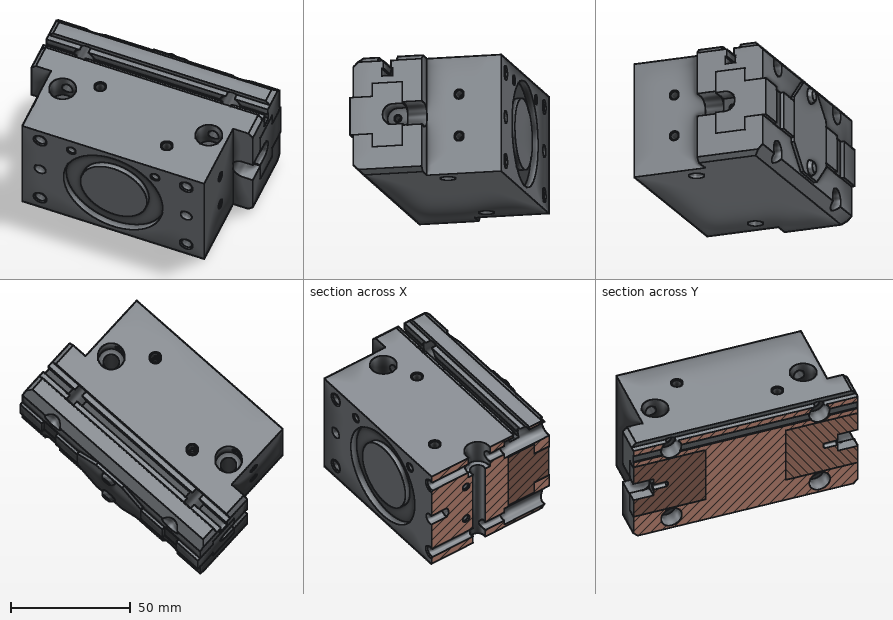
import cadquery as cq
import math


length = 100.0
height = 50.0
block_length = 82.2
shoulder_y = 32.0
housing_back_y = 61.5
end_chamfer = 2.0
back_chamfer = 4.0

jaw_face_y = 62.9
head_front_y = 40.3
head_back_y = 53.4
head_height = 27.2
neck_height = 16.0
jaw_inner_x = 17.9
key_slot_x = 33.9
key_slot_width = 7.8
key_slot_floor_y = 61.3

relief_x = 45.6
housing_relief_radius = 5.0
jaw_relief_radius = 4.4
jaw_relief_y = 44.5
jaw_relief_depth = 8.9
jaw_hole_diameter = 2.6
jaw_hole_ring = 3.2
jaw_hole_depth = 6.0

cover_half_height = 19.8
cover_straight_z = 10.0
cover_top_half_length = 7.3
cover_screw_z = 15.9
cover_screw_base = 6.8
cover_screw_tip = 4.4
cover_screw_height = 1.8
cover_screw_bulge_radius = 3.0
cover_screw_bulge_height = 1.0

groove_y = 46.9
groove_mouth_width = 8.2
groove_neck_width = 3.2
groove_base_width = 4.7
groove_mouth_depth = 2.0
groove_base_top_depth = 5.2
groove_depth = 8.5

bolt_x = 33.0
bolt_z = 18.9
bolt_diameter = 4.8
bolt_mouth_diameter = 6.0
bolt_counterbore_diameter = 9.1
bolt_counterbore_floor_y = 38.0

dowel_diameter = 5.1
dowel_depth = 8.0

cross_bolt_y = 24.9
cross_bolt_diameter = 6.6
cross_bolt_counterbore = 11.3
cross_bolt_counterbore_depth = 11.0

port_x = 18.9
face_port_diameter = 3.4
face_port_mouth = 4.2

top_port_y = {-1: 31.9, 1: 13.0}
top_port_mouth = 5.1
top_port_diameter = 4.2
top_port_depth = 9.0
top_port_drill = 2.6
top_port_drill_depth = 14.0

side_port_y = 18.1
side_port_z = 9.0
side_port_diameter = 3.4
side_port_mouth = 4.2
side_port_depth = 8.0

ring_outer_radius = 22.4
ring_inner_radius = 15.0
ring_depth = 3.0
ring_center_recess = 0.6

drill_point_angle = 118.0

TO_BACK = cq.Vector(0, 1, 0)
DOWN = cq.Vector(0, 0, -1)


def box_between(x_range, y_range, z_range):
    """Box spanning the given (low, high) ranges."""
    sizes = [high - low for low, high in (x_range, y_range, z_range)]
    corner = (x_range[0], y_range[0], z_range[0])
    return cq.Workplane("XY").box(*sizes, centered=False).translate(corner)


def cylinder(diameter, depth, start, direction):
    """Plain round cutter."""
    return cq.Workplane(obj=cq.Solid.makeCylinder(diameter / 2, depth, cq.Vector(*start), direction))


def drilled(diameter, depth, start, direction):
    """Blind hole cutter with a conical drill point."""
    radius = diameter / 2
    point_height = radius / math.tan(math.radians(drill_point_angle / 2))
    point_start = cq.Vector(*start) + direction * depth
    point = cq.Solid.makeCone(radius, 0, point_height, point_start, direction)
    return cylinder(diameter, depth, start, direction).union(cq.Workplane(obj=point))


def countersink(mouth, diameter, start, direction):
    """45 degree lead-in from the mouth diameter down to the hole diameter."""
    depth = (mouth - diameter) / 2
    return cq.Workplane(obj=cq.Solid.makeCone(mouth / 2, diameter / 2, depth, cq.Vector(*start), direction))


def t_profile(inner_x, outer_x, back_y):
    """Bar of T-shaped section along X, with its wide head toward the mounting face."""
    head = box_between((inner_x, outer_x), (head_front_y, head_back_y), (-head_height / 2, head_height / 2))
    neck = box_between((inner_x, outer_x), (head_front_y, back_y), (-neck_height / 2, neck_height / 2))
    return head.union(neck)


def housing_blank():
    """Block with the two flanges that carry the jaws, and its chamfers."""
    block = box_between((-block_length / 2, block_length / 2), (0, housing_back_y), (-height / 2, height / 2))
    flange = (
        box_between((-length / 2, length / 2), (shoulder_y, housing_back_y), (-height / 2, height / 2))
        .edges("|Y")
        .chamfer(end_chamfer)
    )
    blank = block.union(flange)
    for side in (-1, 1):
        edge_z = side * height / 2
        corner = (
            cq.Workplane("YZ")
            .polyline([
                (housing_back_y - back_chamfer, edge_z),
                (housing_back_y, edge_z),
                (housing_back_y, edge_z - side * back_chamfer),
            ])
            .close()
            .extrude(length / 2, both=True)
        )
        blank = blank.cut(corner)
    return blank


def cover_plate():
    """Thin octagonal plate between the jaws, on the back of the housing."""
    quarter = [(cover_top_half_length, cover_half_height), (jaw_inner_x, cover_straight_z)]
    right = quarter + [(x, -z) for x, z in reversed(quarter)]
    left = [(-x, -z) for x, z in right]
    plate = (
        cq.Workplane("XZ", origin=(0, housing_back_y, 0))
        .polyline(right + left)
        .close()
        .extrude(housing_back_y - jaw_face_y)
    )
    return plate


def cover_screw_head(z):
    """Domed screw head with a flat tip, on the cover plate."""
    return (
        cq.Workplane("XY", origin=(0, jaw_face_y, z))
        .lineTo(cover_screw_base / 2, 0)
        .threePointArc(
            (cover_screw_bulge_radius, cover_screw_bulge_height),
            (cover_screw_tip / 2, cover_screw_height),
        )
        .lineTo(0, cover_screw_height)
        .close()
        .revolve(360, (0, 0), (0, 1))
    )


def sensor_groove():
    """Stepped groove along the top, widest at its mouth and undercut at its base."""
    top_z = height / 2
    steps = [
        (groove_mouth_width, 0, groove_mouth_depth),
        (groove_neck_width, groove_mouth_depth, groove_base_top_depth),
        (groove_base_width, groove_base_top_depth, groove_depth),
    ]
    groove = cq.Workplane("XY")
    for width, upper, lower in steps:
        groove = groove.union(box_between(
            (-length / 2, length / 2),
            (groove_y - width / 2, groove_y + width / 2),
            (top_z - lower, top_z - upper),
        ))
    return groove


def housing_relief(side):
    """Round-ended slot in one flange, open to its shoulder and its end."""
    depth = head_front_y - shoulder_y
    center = (side * relief_x, shoulder_y, 0)
    round_end = cylinder(2 * housing_relief_radius, depth, center, TO_BACK)
    open_end = box_between(
        sorted((side * relief_x, side * length / 2)),
        (shoulder_y, head_front_y),
        (-housing_relief_radius, housing_relief_radius),
    )
    return round_end.union(open_end)


def mounting_bolt_holes(side):
    """Two through holes along Y, counterbored from the back."""
    holes = cq.Workplane("XY")
    for z in (-bolt_z, bolt_z):
        mouth = (side * bolt_x, 0, z)
        seat = (side * bolt_x, bolt_counterbore_floor_y, z)
        holes = (
            holes.union(cylinder(bolt_diameter, housing_back_y, mouth, TO_BACK))
            .union(countersink(bolt_mouth_diameter, bolt_diameter, mouth, TO_BACK))
            .union(cylinder(bolt_counterbore_diameter, housing_back_y - bolt_counterbore_floor_y, seat, TO_BACK))
        )
    return holes


def cross_bolt_hole(side):
    """Through hole along Z, counterbored from the top."""
    mouth = (side * bolt_x, cross_bolt_y, height / 2)
    hole = cylinder(cross_bolt_diameter, height, mouth, DOWN)
    return hole.union(cylinder(cross_bolt_counterbore, cross_bolt_counterbore_depth, mouth, DOWN))


def threaded_port(diameter, mouth, depth, start, direction):
    """Blind drilled hole with a countersunk mouth."""
    return drilled(diameter, depth, start, direction).union(countersink(mouth, diameter, start, direction))


def air_port(side):
    """Stepped port in the top face, met at its axis by a port drilled in from the mounting face."""
    start = (side * port_x, top_port_y[side], height / 2)
    port = cylinder(top_port_diameter, top_port_depth, start, DOWN)
    port = port.union(countersink(top_port_mouth, top_port_diameter, start, DOWN))
    port = port.union(drilled(top_port_drill, top_port_drill_depth, start, DOWN))
    face_start = (side * port_x, 0, bolt_z)
    port = port.union(cylinder(face_port_diameter, top_port_y[side], face_start, TO_BACK))
    return port.union(countersink(face_port_mouth, face_port_diameter, face_start, TO_BACK))


def end_features(side):
    """Everything cut into one half of the housing, apart from the jaw slot."""
    inward = cq.Vector(-side, 0, 0)
    cuts = housing_relief(side).union(mounting_bolt_holes(side)).union(cross_bolt_hole(side))
    cuts = cuts.union(drilled(dowel_diameter, dowel_depth, (side * bolt_x, 0, 0), TO_BACK))
    cuts = cuts.union(air_port(side))
    for z in (-side_port_z, side_port_z):
        start = (side * block_length / 2, side_port_y, z)
        cuts = cuts.union(threaded_port(side_port_diameter, side_port_mouth, side_port_depth, start, inward))
    return cuts


def ring_recess():
    """Round recess in the mounting face around a slightly sunken central boss."""
    recess = cylinder(2 * ring_outer_radius, ring_depth, (0, 0, 0), TO_BACK)
    boss_height = ring_depth - ring_center_recess
    return recess.cut(cylinder(2 * ring_inner_radius, boss_height, (0, ring_center_recess, 0), TO_BACK))


def make_housing():
    """Housing with its cover plate, slotted at both ends for the jaws."""
    housing = housing_blank().union(cover_plate())
    for z in (-cover_screw_z, cover_screw_z):
        housing = housing.union(cover_screw_head(z))
    housing = housing.cut(ring_recess()).cut(sensor_groove())
    for side in (-1, 1):
        inner_x, outer_x = sorted((side * jaw_inner_x, side * length / 2))
        housing = housing.cut(t_profile(inner_x, outer_x, jaw_face_y)).cut(end_features(side))
    return housing


def make_jaw(side):
    """T-shaped jaw with a key slot across its face and a relief in its outer end."""
    inner_x, outer_x = sorted((side * jaw_inner_x, side * length / 2))
    jaw = t_profile(inner_x, outer_x, jaw_face_y)
    key_slot = box_between(
        (side * key_slot_x - key_slot_width / 2, side * key_slot_x + key_slot_width / 2),
        (key_slot_floor_y, jaw_face_y),
        (-neck_height / 2, neck_height / 2),
    )
    inward = cq.Vector(-side, 0, 0)
    end_center = (side * length / 2, jaw_relief_y, 0)
    floor_x = side * (length / 2 - jaw_relief_depth)
    relief = cylinder(2 * jaw_relief_radius, jaw_relief_depth, end_center, inward)
    relief = relief.union(box_between(
        sorted((floor_x, side * length / 2)),
        (head_front_y, jaw_relief_y),
        (-jaw_relief_radius, jaw_relief_radius),
    ))
    hole = threaded_port(
        jaw_hole_diameter, jaw_hole_ring, jaw_hole_depth, (floor_x, jaw_relief_y, 0), inward
    )
    return jaw.cut(key_slot).cut(relief).cut(hole)


housing = make_housing()
jaws = [make_jaw(side) for side in (-1, 1)]

result = cq.Compound.makeCompound([housing.val(), *[jaw.val() for jaw in jaws]])